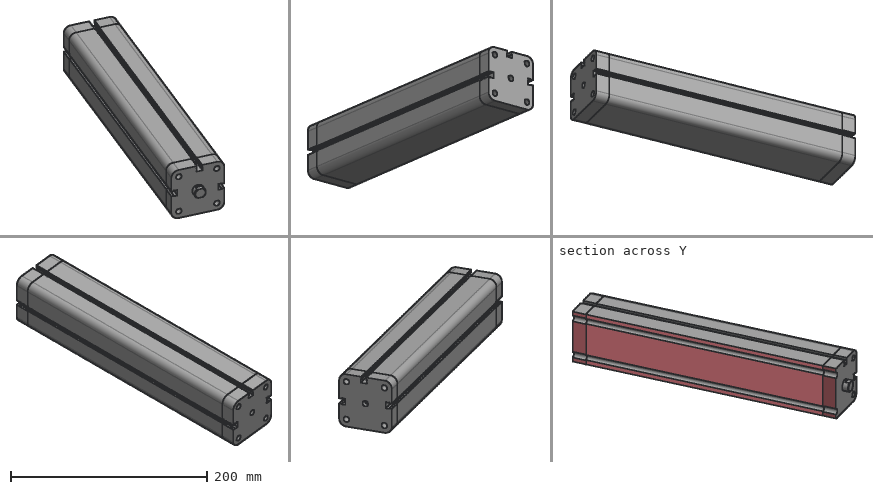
import cadquery as cq

TOTAL_LENGTH = 302.5
WIDTH = 58.0
CORNER_RADIUS = 8.0
CAP_LENGTH = 14.8
CONNECTOR_LENGTH = 7.0
BODY_LENGTH = TOTAL_LENGTH - CONNECTOR_LENGTH
TUBE_LENGTH = BODY_LENGTH - 2 * CAP_LENGTH

HOLE_SPACING = 41.7
CAP_HOLE_DIAMETER = 6.0
TUBE_HOLE_DIAMETER = 5.0

CENTRE_HOLE_DIAMETER = 6.0
CENTRE_HOLE_DEPTH = 6.0

SLOT_OFFSET = 1.8
SLOT_WIDTH = 6.7
SLOT_DEPTH = 6.7
TUBE_MOUTH_WIDTH = 4.8
CAP_MOUTH_WIDTH = 5.7
LIP_THICKNESS = 3.0
SLOT_ANGLES = (-90, 0, 90)

CONNECTOR_DIAMETER = 12.5
FLAT_SPACING = 10.3
COLLAR_LENGTH = 2.0
CONNECTOR_CHAMFER = 0.5


def section_plane(x):
    """Plane across the long axis: its local x is Y and its local y is Z."""
    return cq.Workplane("YZ", origin=(x, 0, 0))


def rounded_block(x, length):
    block = section_plane(x).rect(WIDTH, WIDTH).extrude(length)
    return block.edges("|X").fillet(CORNER_RADIUS)


def screw_holes(x, length, diameter):
    corners = section_plane(x).rect(HOLE_SPACING, HOLE_SPACING, forConstruction=True).vertices()
    return corners.circle(diameter / 2).extrude(length)


def top_groove(x, length, width, near_depth, far_depth):
    """Bar cutting a groove in the top face between two depths below it."""
    middle = WIDTH / 2 - (near_depth + far_depth) / 2
    profile = section_plane(x).center(SLOT_OFFSET, middle).rect(width, far_depth - near_depth)
    return profile.extrude(length)


def cut_slots(body, x, length, mouth_width):
    """Cut a T-slot into the top face and, turned about X, into both side faces."""
    mouth = top_groove(x, length, mouth_width, 0, LIP_THICKNESS)
    channel = top_groove(x, length, SLOT_WIDTH, LIP_THICKNESS, SLOT_DEPTH)
    slot = mouth.union(channel)
    for angle in SLOT_ANGLES:
        body = body.cut(slot.rotate((0, 0, 0), (1, 0, 0), angle))
    return body


def make_section(x, length, hole_diameter, mouth_width):
    """Slotted length of the square body, with its four screw holes running right through."""
    block = rounded_block(x, length).cut(screw_holes(x, length, hole_diameter))
    return cut_slots(block, x, length, mouth_width)


def make_tube():
    return make_section(CAP_LENGTH, TUBE_LENGTH, TUBE_HOLE_DIAMETER, TUBE_MOUTH_WIDTH)


def make_cap(x):
    return make_section(x, CAP_LENGTH, CAP_HOLE_DIAMETER, CAP_MOUTH_WIDTH)


def make_plain_cap():
    centre_hole = section_plane(0).circle(CENTRE_HOLE_DIAMETER / 2).extrude(CENTRE_HOLE_DEPTH)
    return make_cap(0).cut(centre_hole)


def make_connector():
    base = section_plane(BODY_LENGTH)
    collar = base.circle(CONNECTOR_DIAMETER / 2).extrude(COLLAR_LENGTH)
    barrel = base.circle(CONNECTOR_DIAMETER / 2).extrude(CONNECTOR_LENGTH)
    barrel = barrel.faces(">X").chamfer(CONNECTOR_CHAMFER)
    between_flats = base.rect(CONNECTOR_DIAMETER, FLAT_SPACING).extrude(CONNECTOR_LENGTH)
    return collar.union(barrel.intersect(between_flats))


tube = make_tube()
plain_cap = make_plain_cap()
connector_cap = make_cap(BODY_LENGTH - CAP_LENGTH)
connector = make_connector()

result = cq.Compound.makeCompound([tube.val(), plain_cap.val(), connector_cap.val(), connector.val()])